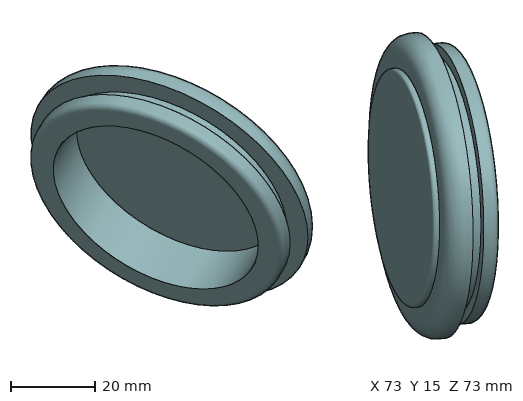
import cadquery as cq

total_length = 15.0

lip_radius = 33.5
lip_length = 4.0
lip_fillet = 1.5

groove_radius = 30.95
groove_length = 3.5

flange_radius = 36.5
flange_length = 6.0
flange_fillet = 4.5

disc_radius = 28.55
disc_fillet = 0.7

pocket_radius = 27.0
pocket_depth = 12.85

groove_start = lip_length
flange_start = groove_start + groove_length
disc_start = flange_start + flange_length
disc_length = total_length - disc_start


def cylinder(radius, start, length):
    """Cylinder along +Y from the given start position."""
    return cq.Workplane("XZ", origin=(0, start, 0)).circle(radius).extrude(-length)


lip = cylinder(lip_radius, 0, lip_length).faces("<Y").edges().fillet(lip_fillet)
groove = cylinder(groove_radius, groove_start, groove_length)
flange = cylinder(flange_radius, flange_start, flange_length).faces(">Y").edges().fillet(flange_fillet)
disc = cylinder(disc_radius, disc_start, disc_length).faces(">Y").edges().fillet(disc_fillet)
pocket = cylinder(pocket_radius, 0, pocket_depth)

result = lip.union(groove).union(flange).union(disc).cut(pocket)